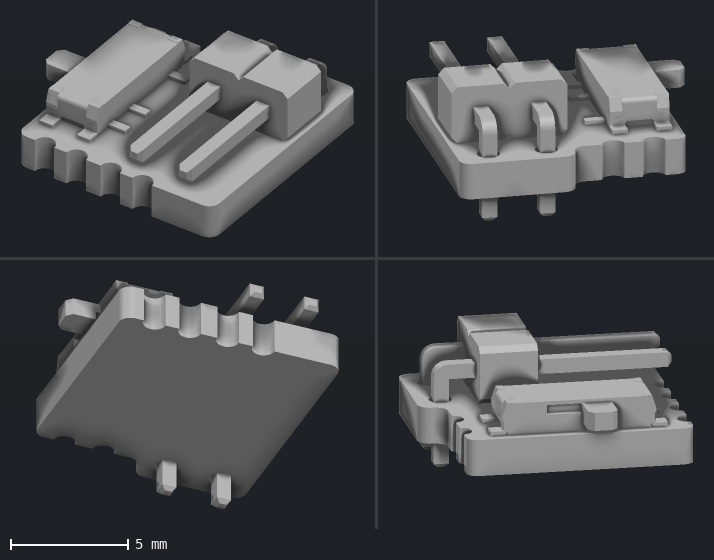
import cadquery as cq
import math

OVERALL_WIDTH = 11.23

BOARD_WIDTH = 10.15
BOARD_DEPTH = 11.0
BOARD_THICKNESS = 1.61
LEFT_SIDE_DEPTH = 9.87
TAB_LEFT_X = 5.05
CORNER_RADIUS = 0.53
BACK_LEFT_RADIUS = 0.45
STEP_RADIUS = 0.56
HOLE_DIAMETER = 1.0
FRONT_NOTCH_XS = [1.45, 3.09, 4.85, 6.5]
BACK_NOTCH_XS = [1.45, 3.25]
BACK_NOTCH_OFFSET = 0.06

SEAT_GAP = 0.03
SEAT_Z = BOARD_THICKNESS + SEAT_GAP

PITCH = 2.54
HEADER_CENTER_X = 7.47
HEADER_FRONT_Y = 5.87
HEADER_CHAMFER = 0.26
PIN_XS = [HEADER_CENTER_X - PITCH / 2, HEADER_CENTER_X + PITCH / 2]

PIN_SIZE = 0.65
PIN_CENTER_Z = SEAT_Z + PITCH / 2
PIN_LEG_Y = 9.9
PIN_HOLE_Y = 9.89
PIN_FRONT_Y = -0.13
PIN_BOTTOM_Z = -1.36
PIN_TIP_LENGTH = 0.18
PIN_TIP_INSET = 0.16

SWITCH_LEFT_X = 0.42
SWITCH_WIDTH = 2.62
SWITCH_RIGHT_X = SWITCH_LEFT_X + SWITCH_WIDTH
SWITCH_CENTER_X = SWITCH_LEFT_X + SWITCH_WIDTH / 2
SWITCH_CENTER_Y = 4.95
SHEET = 0.17
COVER_HALF_LENGTH = 3.29
COVER_TOP_Z = 3.03
COVER_BEND_RADIUS = 0.26
INNER_BEND_RADIUS = COVER_BEND_RADIUS - SHEET
CORE_HALF_LENGTH = COVER_HALF_LENGTH - SHEET
CORE_TOP_Z = COVER_TOP_Z - SHEET

FOOT_HALF_SPAN = 3.85
FOOT_WIDTH = 0.67
FOOT_INNER_RADIUS = 0.05
FOOT_OUTER_RADIUS = FOOT_INNER_RADIUS + SHEET
RELIEF_TOP_Z = 1.99
RELIEF_CHAMFER = 0.09

CLAW_WIDTH = 0.55
CLAW_INNER_Y = 2.83
CLAW_CREST_Y = 3.16
CLAW_OUTER_Y = 3.35
CLAW_BOTTOM_Z = 2.27
CLAW_SLOPE_Z = 2.47
CLAW_TOP_Z = 3.05

LEAD_WIDTH = 0.4
LEAD_LENGTH = 0.88
LEAD_THICKNESS = 0.18
LEAD_PITCH = 1.5
LEAD_STEPS = [-1.5, -0.5, 1.5]

SLOT_LENGTH = 2.84
SLOT_BOTTOM_Z = 2.44
SLOT_DEPTH = 0.3
SLOT_FRONT_Y = SWITCH_CENTER_Y - SLOT_LENGTH / 2
SLOT_END_X = SWITCH_LEFT_X + SLOT_DEPTH
KNOB_LEFT_X = BOARD_WIDTH - OVERALL_WIDTH
KNOB_RIGHT_X = 0.22
KNOB_BOTTOM_Z = 2.05
KNOB_WIDTH = 1.3
KNOB_CHAMFER = 0.26


def box(x_range, y_range, z_range):
    """Axis-aligned block given by its limits."""
    (x0, x1), (y0, y1), (z0, z1) = x_range, y_range, z_range
    return cq.Workplane("XY").box(x1 - x0, y1 - y0, z1 - z0, centered=False).translate((x0, y0, z0))


def extrude_along_x(profile, width, center_x):
    """Extrude a closed YZ profile by a width centred on center_x."""
    return profile.extrude(width / 2, both=True).translate((center_x, 0, 0))


def with_front_end(back_end):
    """Join a back end shape of the switch to its mirror image at the front end."""
    return back_end.union(back_end.mirror("XZ", (0, SWITCH_CENTER_Y, 0)))


def make_board():
    board = (
        cq.Workplane("XY")
        .moveTo(0, 0)
        .lineTo(BOARD_WIDTH, 0)
        .lineTo(BOARD_WIDTH, BOARD_DEPTH)
        .lineTo(TAB_LEFT_X, BOARD_DEPTH)
        .lineTo(TAB_LEFT_X, LEFT_SIDE_DEPTH)
        .lineTo(0, LEFT_SIDE_DEPTH)
        .close()
        .extrude(BOARD_THICKNESS)
    )
    corner_radii = [
        ((0, 0), CORNER_RADIUS),
        ((BOARD_WIDTH, 0), CORNER_RADIUS),
        ((BOARD_WIDTH, BOARD_DEPTH), CORNER_RADIUS),
        ((TAB_LEFT_X, BOARD_DEPTH), STEP_RADIUS),
        ((TAB_LEFT_X, LEFT_SIDE_DEPTH), STEP_RADIUS),
        ((0, LEFT_SIDE_DEPTH), BACK_LEFT_RADIUS),
    ]
    for (x, y), radius in corner_radii:
        corner = cq.selectors.NearestToPointSelector((x, y, BOARD_THICKNESS / 2))
        board = board.edges("|Z").edges(corner).fillet(radius)
    hole_centers = [(x, 0) for x in FRONT_NOTCH_XS]
    hole_centers += [(x, LEFT_SIDE_DEPTH + BACK_NOTCH_OFFSET) for x in BACK_NOTCH_XS]
    hole_centers += [(x, PIN_HOLE_Y) for x in PIN_XS]
    holes = cq.Workplane("XY").pushPoints(hole_centers).circle(HOLE_DIAMETER / 2).extrude(BOARD_THICKNESS)
    return board.cut(holes)


def make_header_housing():
    housing = None
    for x in PIN_XS:
        cell = (
            box(
                (x - PITCH / 2, x + PITCH / 2),
                (HEADER_FRONT_Y, HEADER_FRONT_Y + PITCH),
                (SEAT_Z, SEAT_Z + PITCH),
            )
            .edges("|Y")
            .chamfer(HEADER_CHAMFER)
        )
        housing = cell if housing is None else housing.union(cell)
    for x in PIN_XS:
        housing = housing.cut(make_pin(x))
    return housing


def make_pin_tip():
    """Tapered pin end, pointing down from the origin."""
    taper = math.degrees(math.atan(PIN_TIP_INSET / PIN_TIP_LENGTH))
    return cq.Workplane("XY").rect(PIN_SIZE, PIN_SIZE).extrude(-PIN_TIP_LENGTH, taper=taper)


def make_pin(center_x):
    """Square pin: a long horizontal arm and a leg bent down through the board."""
    half = PIN_SIZE / 2
    arm_end_y = PIN_FRONT_Y + PIN_TIP_LENGTH
    leg_end_z = PIN_BOTTOM_Z + PIN_TIP_LENGTH
    bar_profile = (
        cq.Workplane("YZ")
        .moveTo(arm_end_y, PIN_CENTER_Z - half)
        .lineTo(PIN_LEG_Y - half, PIN_CENTER_Z - half)
        .lineTo(PIN_LEG_Y - half, leg_end_z)
        .lineTo(PIN_LEG_Y + half, leg_end_z)
        .lineTo(PIN_LEG_Y + half, PIN_CENTER_Z - half)
        .radiusArc((PIN_LEG_Y - half, PIN_CENTER_Z + half), -PIN_SIZE)
        .lineTo(arm_end_y, PIN_CENTER_Z + half)
        .close()
    )
    bent_bar = extrude_along_x(bar_profile, PIN_SIZE, center_x)
    front_tip = make_pin_tip().rotate((0, 0, 0), (1, 0, 0), -90)
    front_tip = front_tip.translate((center_x, arm_end_y, PIN_CENTER_Z))
    bottom_tip = make_pin_tip().translate((center_x, PIN_LEG_Y, leg_end_z))
    return bent_bar.union(front_tip).union(bottom_tip)


def make_claw(center_x):
    """Corner claw of the switch body that holds down the back end of the cover."""
    claw = (
        cq.Workplane("YZ")
        .moveTo(CLAW_INNER_Y, CLAW_BOTTOM_Z)
        .lineTo(CLAW_OUTER_Y, CLAW_BOTTOM_Z)
        .lineTo(CLAW_OUTER_Y, CLAW_SLOPE_Z)
        .lineTo(CLAW_CREST_Y, CLAW_TOP_Z)
        .lineTo(CLAW_INNER_Y, CLAW_TOP_Z)
        .close()
    )
    return extrude_along_x(claw, CLAW_WIDTH, center_x).translate((0, SWITCH_CENTER_Y, 0))


def claw_centers():
    """X places of the two claws, flush with the left and right sides of the switch."""
    offset = (SWITCH_WIDTH - CLAW_WIDTH) / 2
    return [SWITCH_CENTER_X - offset, SWITCH_CENTER_X + offset]


def make_lead(center_y):
    """Flat solder lead that sticks out of the right side of the switch body."""
    return box(
        (SWITCH_RIGHT_X, SWITCH_RIGHT_X + LEAD_LENGTH),
        (center_y - LEAD_WIDTH / 2, center_y + LEAD_WIDTH / 2),
        (SEAT_Z, SEAT_Z + LEAD_THICKNESS),
    )


def make_switch_body():
    """Moulded core under the cover, with its claws, leads and the slot for the slider."""
    body = (
        box(
            (SWITCH_LEFT_X, SWITCH_RIGHT_X),
            (SWITCH_CENTER_Y - CORE_HALF_LENGTH, SWITCH_CENTER_Y + CORE_HALF_LENGTH),
            (SEAT_Z, CORE_TOP_Z),
        )
        .edges("|X and >Z")
        .fillet(INNER_BEND_RADIUS)
    )
    for x in claw_centers():
        body = body.union(with_front_end(make_claw(x)))
    for step in LEAD_STEPS:
        body = body.union(make_lead(SWITCH_CENTER_Y + step * LEAD_PITCH))
    slot = box(
        (SWITCH_LEFT_X, SLOT_END_X),
        (SLOT_FRONT_Y, SLOT_FRONT_Y + SLOT_LENGTH),
        (SLOT_BOTTOM_Z, CORE_TOP_Z),
    )
    return body.cut(slot)


def make_cover():
    """Bent sheet: top plate, end walls turned down, and feet turned outward."""
    foot_top_z = SEAT_Z + SHEET
    bend_end_y = COVER_HALF_LENGTH + FOOT_INNER_RADIUS
    back_half_profile = (
        cq.Workplane("YZ")
        .moveTo(0, COVER_TOP_Z)
        .lineTo(COVER_HALF_LENGTH - COVER_BEND_RADIUS, COVER_TOP_Z)
        .radiusArc((COVER_HALF_LENGTH, COVER_TOP_Z - COVER_BEND_RADIUS), COVER_BEND_RADIUS)
        .lineTo(COVER_HALF_LENGTH, foot_top_z + FOOT_INNER_RADIUS)
        .radiusArc((bend_end_y, foot_top_z), -FOOT_INNER_RADIUS)
        .lineTo(FOOT_HALF_SPAN, foot_top_z)
        .lineTo(FOOT_HALF_SPAN, SEAT_Z)
        .lineTo(bend_end_y, SEAT_Z)
        .radiusArc((CORE_HALF_LENGTH, SEAT_Z + FOOT_OUTER_RADIUS), FOOT_OUTER_RADIUS)
        .lineTo(CORE_HALF_LENGTH, CORE_TOP_Z - INNER_BEND_RADIUS)
        .radiusArc((CORE_HALF_LENGTH - INNER_BEND_RADIUS, CORE_TOP_Z), -INNER_BEND_RADIUS)
        .lineTo(0, CORE_TOP_Z)
        .close()
    )
    back_half = extrude_along_x(back_half_profile, SWITCH_WIDTH, SWITCH_CENTER_X)
    back_half = back_half.translate((0, SWITCH_CENTER_Y, 0))
    relief = (
        box(
            (SWITCH_LEFT_X + FOOT_WIDTH, SWITCH_RIGHT_X - FOOT_WIDTH),
            (SWITCH_CENTER_Y + CORE_HALF_LENGTH, SWITCH_CENTER_Y + FOOT_HALF_SPAN),
            (SEAT_Z, RELIEF_TOP_Z),
        )
        .edges("|Y and >Z")
        .chamfer(RELIEF_CHAMFER)
    )
    back_half = back_half.cut(relief)
    for x in claw_centers():
        claw_recess = box(
            (x - CLAW_WIDTH / 2, x + CLAW_WIDTH / 2),
            (SWITCH_CENTER_Y + CLAW_INNER_Y, SWITCH_CENTER_Y + FOOT_HALF_SPAN),
            (CLAW_BOTTOM_Z, CLAW_TOP_Z),
        )
        back_half = back_half.cut(claw_recess)
    return with_front_end(back_half)


def make_slider():
    """Knob outside the switch with a thinner arm that enters the front end of the slot."""
    y_range = (SLOT_FRONT_Y, SLOT_FRONT_Y + KNOB_WIDTH)
    knob = (
        box((KNOB_LEFT_X, KNOB_RIGHT_X), y_range, (KNOB_BOTTOM_Z, CORE_TOP_Z))
        .edges("|Z and <X")
        .chamfer(KNOB_CHAMFER)
    )
    arm = box((KNOB_RIGHT_X, SLOT_END_X), y_range, (SLOT_BOTTOM_Z, CORE_TOP_Z))
    return knob.union(arm)


board = make_board()
header_housing = make_header_housing()
header_pins = [make_pin(x) for x in PIN_XS]
switch_body = make_switch_body()
switch_cover = make_cover()
switch_slider = make_slider()

result = cq.Compound.makeCompound(
    [
        board.val(),
        header_housing.val(),
        *[pin.val() for pin in header_pins],
        switch_body.val(),
        switch_cover.val(),
        switch_slider.val(),
    ]
)